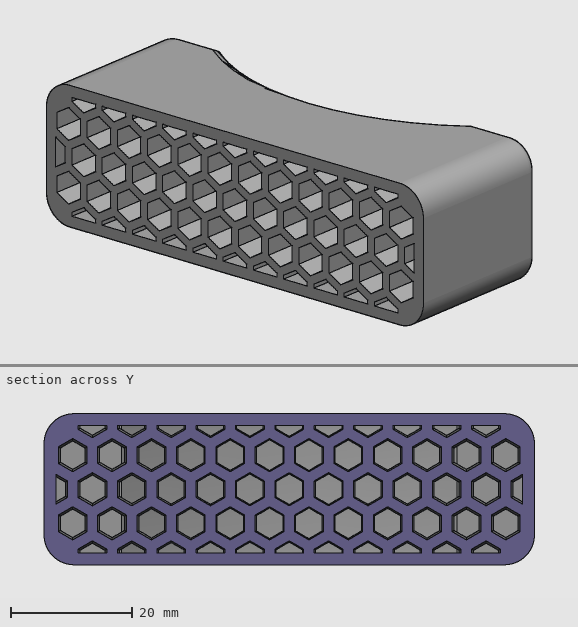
import cadquery as cq
import math

length = 81.0
depth = 29.0
height = 25.0
corner_radius = 5.0
back_fillet = 1.5

saddle_radius = 45.0
saddle_depth = 9.0
saddle_center_y = depth - saddle_depth + saddle_radius

wall = 2.0

cell_width = 5.0
cell_taper = 1.0
cells_per_row = 12
row_span = 71.45
cell_pitch = row_span / (cells_per_row - 1)
row_pitch = cell_pitch * math.cos(math.radians(30))
cell_depth = depth - wall


def saddle_cylinder(radius):
    """Vertical cylinder about the saddle axis."""
    return (
        cq.Workplane("XY", origin=(0, saddle_center_y, -height))
        .circle(radius)
        .extrude(2 * height)
    )


def make_body():
    """Rounded block with the saddle cut out and its back rim filleted."""
    block = cq.Workplane("XY").box(length, depth, height, centered=(True, False, True))
    block = block.edges("|Y").fillet(corner_radius)
    body = block.cut(saddle_cylinder(saddle_radius))
    back_region = cq.selectors.BoxSelector(
        (-length, depth - saddle_depth, -height),
        (length, 2 * depth, height),
    )
    return body.edges(back_region).edges("not |Z").fillet(back_fillet)


def make_cavity_limit():
    """Space the cells may fill: the block inset by the wall, clear of the saddle."""
    inner = cq.Workplane("XY").box(
        length - 2 * wall, cell_depth, height - 2 * wall, centered=(True, False, True)
    )
    return inner.cut(saddle_cylinder(saddle_radius + wall))


def cell_centers():
    """Cell centers (x, z): two full rows of cells, with the rows between and beyond offset half a pitch."""
    centers = []
    for row in range(-2, 3):
        if row in (-1, 1):
            count = cells_per_row
        elif row == 0:
            count = cells_per_row + 1
        else:
            count = cells_per_row - 1
        for column in range(count):
            x = (column - (count - 1) / 2) * cell_pitch
            centers.append((x, row * row_pitch))
    return centers


def make_cell(x, z):
    """One hexagonal cell narrowing from the front to the full cavity depth."""
    back_width = cell_width - 2 * cell_depth * math.tan(math.radians(cell_taper))
    flats_to_corners = 1 / math.cos(math.radians(30))
    return (
        cq.Workplane("ZX", origin=(x, 0, z))
        .polygon(6, cell_width * flats_to_corners)
        .workplane(offset=cell_depth)
        .polygon(6, back_width * flats_to_corners)
        .loft(ruled=True)
    )


cells = cq.Compound.makeCompound([make_cell(x, z).val() for x, z in cell_centers()])
honeycomb = make_cavity_limit().intersect(cq.Workplane(cells))
result = make_body().cut(honeycomb)